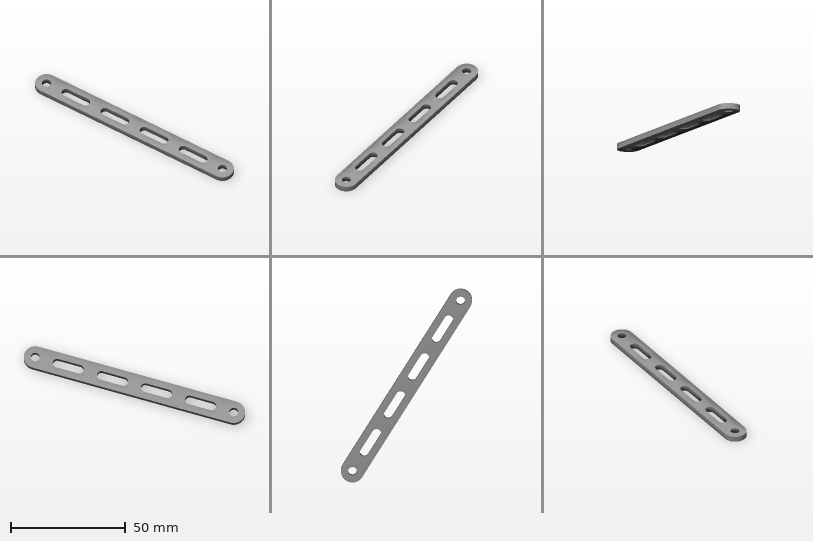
import cadquery as cq

length = 100.0
width = 10.0
thickness = 2.5

hole_diameter = 3.9
hole_spacing = length - width

slot_count = 4
slot_pitch = 20.0
slot_length = 14.0
slot_width = hole_diameter

bar = cq.Workplane("XY").slot2D(length, width).extrude(thickness)

end_holes = (
    cq.Workplane("XY")
    .rarray(hole_spacing, 1, 2, 1)
    .circle(hole_diameter / 2)
    .extrude(thickness)
)

slots = (
    cq.Workplane("XY")
    .rarray(slot_pitch, 1, slot_count, 1)
    .slot2D(slot_length, slot_width)
    .extrude(thickness)
)

result = bar.cut(end_holes).cut(slots)